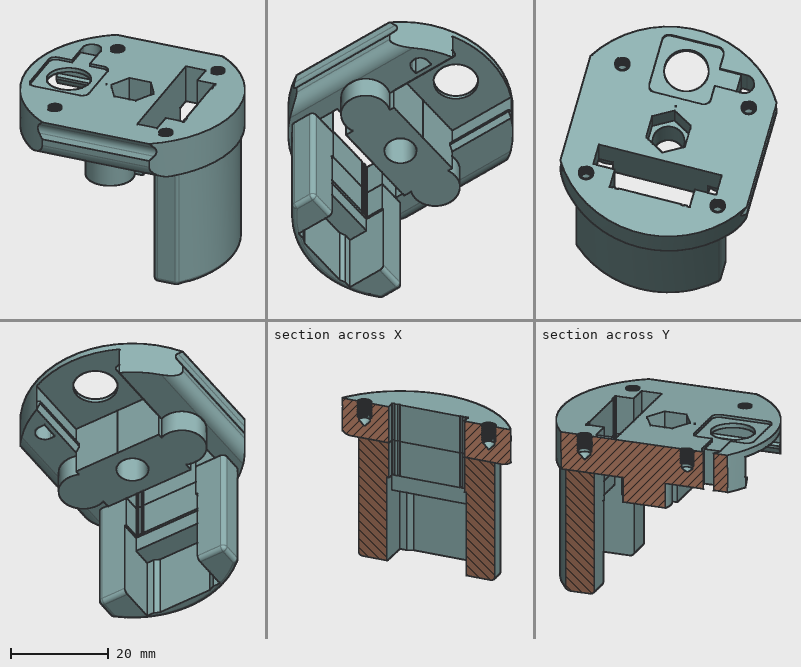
import cadquery as cq
import math

plate_radius = 23.0
plate_width = 39.45
plate_thickness = 8.25
flat_y = plate_width / 2

groove_height = 4.0
groove_arc_radius = 2.0
groove_slope = math.radians(30)
rim_round = 2.8

notch_half_width = 10.05
skin_thickness = 1.5
ridge_top_z = -5.9
ridge_tip_top_z = -6.3
ridge_tip_bottom_z = -6.85
ridge_height = 0.85
ridge_start_x = -20.7

boss_left_x = -5.75
boss_right_x = 6.45
boss_bottom_z = -13.6
post_diameter = 10.1
post_x = 0.0
post_y = 11.95
pinhole_diameter = 0.15

bolt_diameter = 6.6
nut_across_flats = 8.25
nut_pocket_depth = 5.7

recess_x = -14.08
recess_size = 13.0
recess_depth = 0.6
recess_corner_radius = 1.5
recess_hole_diameter = 9.1
cable_slot_width = 3.95
cable_slot_end_y = 14.25
cable_hole_start_y = 11.1

thread_minor_diameter = 2.55
thread_major_diameter = 3.1
thread_pitch = 0.5
thread_root_width = 0.1
thread_mouth_width = 0.45
thread_overlap = 0.1
thread_depth = 4.15
thread_overshoot = 0.9
drill_tip_angle = 90.0
screw_places = [(-9.4, 14.5), (13.0, 13.95), (-11.9, -12.95), (13.0, -13.95)]

slot_wide_length = 26.05
slot_narrow_length = 16.95
slot_back_x = 14.67
guide_groove_depth = 0.2
guide_groove_width = 0.55
guide_groove_ys = [8.25, 7.0]

leg_front_x = 10.85
leg_back_radius = 22.2
leg_width = 30.65
leg_bottom_z = -34.8
leg_round = 0.95
channel_width = 17.65
ledge_top_z = -16.05
ledge_bottom_z = -19.75
ledge_x = 15.2
channel_back_x = 19.35
channel_floor_x = 19.9
channel_floor_width = 12.05
channel_floor_mouth_width = 14.55


def box_between(x0, x1, y0, y1, z0, z1):
    """Box given by its limits along each axis."""
    return cq.Workplane("XY").box(x1 - x0, y1 - y0, z1 - z0, centered=False).translate((x0, y0, z0))


def grip_section():
    """Cross-section of the plate in YZ, with the grooved and rounded grip on both flats."""
    arc_half_height = groove_arc_radius * math.sin(groove_slope)
    slope_depth = (groove_height / 2 - arc_half_height) * math.tan(groove_slope)
    groove_depth = slope_depth + groove_arc_radius * (1 - math.cos(groove_slope))
    arc_y = flat_y - slope_depth
    groove_mid_z = -groove_height / 2
    round_start_z = -plate_thickness + rim_round
    foot_y = flat_y - rim_round
    round_mid_y = foot_y + rim_round * math.sqrt(0.5)
    round_mid_z = round_start_z - rim_round * math.sqrt(0.5)
    return (
        cq.Workplane("YZ")
        .moveTo(-flat_y, 0)
        .lineTo(flat_y, 0)
        .lineTo(arc_y, groove_mid_z + arc_half_height)
        .threePointArc((flat_y - groove_depth, groove_mid_z), (arc_y, groove_mid_z - arc_half_height))
        .lineTo(flat_y, -groove_height)
        .lineTo(flat_y, round_start_z)
        .threePointArc((round_mid_y, round_mid_z), (foot_y, -plate_thickness))
        .lineTo(-foot_y, -plate_thickness)
        .threePointArc((-round_mid_y, round_mid_z), (-flat_y, round_start_z))
        .lineTo(-flat_y, -groove_height)
        .lineTo(-arc_y, groove_mid_z - arc_half_height)
        .threePointArc((groove_depth - flat_y, groove_mid_z), (-arc_y, groove_mid_z + arc_half_height))
        .close()
    )


def make_disc():
    disc = cq.Workplane("XY").circle(plate_radius).extrude(-plate_thickness)
    return disc.intersect(grip_section().extrude(plate_radius, both=True))


def make_notch():
    """Space below the skin, with the two snap ridges left standing on its side walls."""
    notch = box_between(
        -plate_radius, boss_left_x, -notch_half_width, notch_half_width, -plate_thickness, -skin_thickness
    )
    tip_y = notch_half_width - ridge_height
    for side in (1, -1):
        ridge = (
            cq.Workplane("YZ", origin=(ridge_start_x, 0, 0))
            .polyline([
                (side * notch_half_width, ridge_top_z),
                (side * tip_y, ridge_tip_top_z),
                (side * tip_y, ridge_tip_bottom_z),
                (side * notch_half_width, -plate_thickness),
            ])
            .close()
            .extrude(boss_left_x - ridge_start_x)
        )
        notch = notch.cut(ridge)
    return notch


def make_boss():
    boss = box_between(
        boss_left_x, boss_right_x, -notch_half_width, notch_half_width, boss_bottom_z, -skin_thickness
    )
    post_height = -plate_thickness - boss_bottom_z
    posts = (
        cq.Workplane("XY", origin=(0, 0, boss_bottom_z))
        .pushPoints([(post_x, post_y), (post_x, -post_y)])
        .circle(post_diameter / 2)
        .extrude(post_height)
    )
    return boss.union(posts)


def make_nut_pocket():
    across_corners = nut_across_flats / math.cos(math.radians(30))
    pocket = cq.Workplane("XY").polygon(6, across_corners).extrude(-nut_pocket_depth)
    bolt_hole = cq.Workplane("XY").circle(bolt_diameter / 2).extrude(boss_bottom_z)
    return pocket.union(bolt_hole)


def make_pinhole():
    """Fine vertical hole whose axis lies in the boss face."""
    return cq.Workplane("XY").center(boss_left_x, 0).circle(pinhole_diameter / 2).extrude(boss_bottom_z)


def make_recess():
    """Shallow square recess and cable slot, with the holes that go through below them."""
    slot_end_center_y = cable_slot_end_y - cable_slot_width / 2
    square = (
        cq.Workplane("XY")
        .center(recess_x, 0)
        .rect(recess_size, recess_size)
        .extrude(-recess_depth)
        .edges("|Z")
        .fillet(recess_corner_radius)
    )
    slot_x0 = recess_x - cable_slot_width / 2
    slot_x1 = recess_x + cable_slot_width / 2
    channel = box_between(slot_x0, slot_x1, 0, slot_end_center_y, -recess_depth, 0)
    cable_hole = box_between(slot_x0, slot_x1, cable_hole_start_y, slot_end_center_y, -plate_thickness, 0)
    cable_end = (
        cq.Workplane("XY")
        .center(recess_x, slot_end_center_y)
        .circle(cable_slot_width / 2)
        .extrude(-plate_thickness)
        .intersect(box_between(slot_x0, slot_x1, cable_hole_start_y, cable_slot_end_y, -plate_thickness, 0))
    )
    round_hole = (
        cq.Workplane("XY")
        .center(recess_x, 0)
        .circle(recess_hole_diameter / 2)
        .extrude(-plate_thickness)
    )
    return square.union(channel).union(cable_hole).union(cable_end).union(round_hole)


def make_drilled_hole():
    """Blind hole at the thread's minor diameter, with a drill point; it overshoots the top face."""
    radius = thread_minor_diameter / 2
    tip_height = radius / math.tan(math.radians(drill_tip_angle / 2))
    return (
        cq.Workplane("XZ")
        .polyline([
            (0, thread_overshoot),
            (radius, thread_overshoot),
            (radius, -thread_depth),
            (0, -thread_depth - tip_height),
        ])
        .close()
        .revolve(360, (0, 0, 0), (0, 1, 0))
    )


def make_thread_groove():
    """Helical V-groove that starts above the top face and ends one pitch above the drill point."""
    inner = thread_minor_diameter / 2 - thread_overlap
    outer = thread_major_diameter / 2
    half_mouth = thread_mouth_width / 2
    bottom_z = -thread_depth + thread_pitch
    helix = cq.Wire.makeHelix(thread_pitch, thread_pitch - bottom_z, inner, cq.Vector(0, 0, bottom_z))
    return (
        cq.Workplane("XZ")
        .polyline([
            (inner, bottom_z - half_mouth),
            (outer, bottom_z - thread_root_width / 2),
            (outer, bottom_z + thread_root_width / 2),
            (inner, bottom_z + half_mouth),
        ])
        .close()
        .sweep(cq.Workplane(obj=helix), isFrenet=True)
    )


def make_slot():
    half_wide = slot_wide_length / 2
    half_narrow = slot_narrow_length / 2
    wide = box_between(boss_right_x, leg_front_x, -half_wide, half_wide, -plate_thickness, 0)
    narrow = box_between(leg_front_x, slot_back_x, -half_narrow, half_narrow, ledge_top_z, 0)
    slot = wide.union(narrow)
    for place in guide_groove_ys:
        for y in (place, -place):
            slot = slot.union(box_between(
                slot_back_x, slot_back_x + guide_groove_depth,
                y - guide_groove_width / 2, y + guide_groove_width / 2, ledge_top_z, 0,
            ))
    return slot


def make_housing():
    housing = make_disc().cut(make_notch()).union(make_boss())
    housing = housing.cut(make_nut_pocket()).cut(make_pinhole()).cut(make_recess()).cut(make_slot())
    threaded_hole = make_drilled_hole().union(make_thread_groove())
    for x, y in screw_places:
        housing = housing.cut(threaded_hole.translate((x, y, 0)))
    return housing.solids()


def make_leg_channel():
    """Open channel on the leg's front, deepening in steps towards the bottom."""
    half = channel_width / 2
    upper = box_between(leg_front_x, ledge_x, -half, half, ledge_bottom_z, ledge_top_z)
    lower = box_between(leg_front_x, channel_back_x, -half, half, leg_bottom_z, ledge_bottom_z)
    floor = (
        cq.Workplane("XY", origin=(0, 0, leg_bottom_z))
        .polyline([
            (channel_back_x, -channel_floor_mouth_width / 2),
            (channel_floor_x, -channel_floor_width / 2),
            (channel_floor_x, channel_floor_width / 2),
            (channel_back_x, channel_floor_mouth_width / 2),
        ])
        .close()
        .extrude(ledge_bottom_z - leg_bottom_z)
    )
    return upper.union(lower).union(floor)


def make_leg():
    half_width = leg_width / 2
    corner_x = math.sqrt(leg_back_radius**2 - half_width**2)
    column = (
        cq.Workplane("XY", origin=(0, 0, leg_bottom_z))
        .moveTo(leg_front_x, -half_width)
        .lineTo(corner_x, -half_width)
        .threePointArc((leg_back_radius, 0), (corner_x, half_width))
        .lineTo(leg_front_x, half_width)
        .close()
        .extrude(-plate_thickness - leg_bottom_z)
        .edges("|Z")
        .fillet(leg_round)
        .faces("<Z")
        .edges()
        .fillet(leg_round)
    )
    return column.cut(make_leg_channel()).cut(make_slot()).solids()


housing = make_housing()
leg = make_leg()
result = cq.Compound.makeCompound([housing.val(), leg.val()])